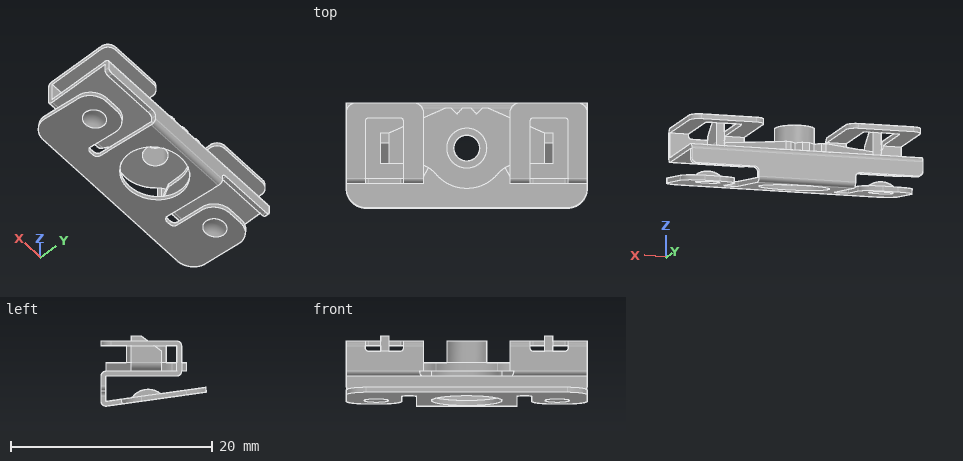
import cadquery as cq
import math

SIDES = (-1, 1)

SHEET = 0.5
CLIP_WIDTH = 24.0
BACK_INNER_Y = 4.0
BACK_Y = BACK_INNER_Y + SHEET
FRONT_Y = -3.53
FRONT_INNER_Y = FRONT_Y + SHEET
TAB_TOP_Z = 3.0
TAB_INNER_X = 4.3
TAB_CORNER_RADIUS = 1.0

WINDOW_INNER_X = 6.3
WINDOW_OUTER_X = 10.08
WINDOW_BACK_Y = 3.0
WINDOW_BOTTOM_Z = 2.0
WINDOW_CORNER_RADIUS = 0.3

CLEARANCE_RADIUS = 3.5
MOUTH_HALF_WIDTH = 4.68
MOUTH_END_Y = -1.37

FLAP_BOTTOM_Z = -2.0
FLAP_CORNER_RADIUS = 0.5

SPRING_FOLD_Z = -3.0
SPRING_TILT = 8.0
SPRING_LENGTH = 10.03
SPRING_CORNER_RADIUS = 2.0
NECK_WIDTH = 10.03
SLOT_LENGTH = 7.37
SLOT_CORNER_RADIUS = 0.5
LOBE_INNER_X = 6.45
LOBE_SETBACK = 1.54
DIMPLE_X = 9.0
DIMPLE_OUTER_RADIUS = 2.0
DIMPLE_INNER_RADIUS = DIMPLE_OUTER_RADIUS - SHEET
DIMPLE_CENTER_DEPTH = 1.37

LEVER_THICKNESS = 0.85
LEVER_RADIUS = BACK_INNER_Y
LEVER_BACK_HALF_WIDTH = 2.06
ARM_END_X = 8.57
EAR_INNER_X = ARM_END_X - LEVER_THICKNESS
ARM_HALF_DEPTH = 1.5
ARM_FILLET_RADIUS = 3.0
BOSS_RADIUS = 2.0
BOSS_HOLE_RADIUS = 1.27
NOTCH_X = 0.98
NOTCH_DEPTH = 0.6
EAR_TOP_Z = 3.5
EAR_FLAT_END_Y = 0.5
EAR_FRONT_Z = 2.0

tilt = math.radians(SPRING_TILT)


def polar(center, radius, degrees):
    """Point at an angle on a circle."""
    angle = math.radians(degrees)
    return (center[0] + radius * math.cos(angle), center[1] + radius * math.sin(angle))


def box_between(x_range, y_range, z_range):
    """Axis-aligned box given by its low and high limits."""
    sizes = [high - low for low, high in (x_range, y_range, z_range)]
    return cq.Workplane("XY").box(*sizes, centered=False).translate((x_range[0], y_range[0], z_range[0]))


def mirrored_range(side, inner, outer):
    """Low and high x of a stretch that lies on one side of the symmetry plane."""
    return tuple(sorted((side * inner, side * outer)))


def folded_strip():
    """Tabs, front wall, seat and back wall, at full width; every bend is sharp inside."""
    top_fold = (FRONT_INNER_Y, TAB_TOP_Z - SHEET)
    front_fold = (FRONT_INNER_Y, 0)
    back_fold = (BACK_INNER_Y, -SHEET)
    strip = (
        cq.Workplane("YZ")
        .moveTo(BACK_Y, TAB_TOP_Z)
        .lineTo(FRONT_INNER_Y, TAB_TOP_Z)
        .threePointArc(polar(top_fold, SHEET, 135), polar(top_fold, SHEET, 180))
        .lineTo(FRONT_Y, 0)
        .threePointArc(polar(front_fold, SHEET, 225), polar(front_fold, SHEET, 270))
        .lineTo(*back_fold)
        .lineTo(BACK_INNER_Y, FLAP_BOTTOM_Z)
        .lineTo(BACK_Y, FLAP_BOTTOM_Z)
        .lineTo(BACK_Y, -SHEET)
        .threePointArc(polar(back_fold, SHEET, 45), polar(back_fold, SHEET, 90))
        .lineTo(*front_fold)
        .lineTo(*top_fold)
        .lineTo(BACK_Y, TAB_TOP_Z - SHEET)
        .close()
        .extrude(CLIP_WIDTH / 2, both=True)
    )
    return strip.faces("<Z").edges("|Y").fillet(FLAP_CORNER_RADIUS)


def tab_gap():
    """Space that splits the upper part of the strip into two tabs."""
    return box_between((-TAB_INNER_X, TAB_INNER_X), (FRONT_Y, BACK_Y), (0, TAB_TOP_Z))


def window(side):
    """Opening that runs from the tab over the bend into the front wall."""
    cutter = box_between(
        mirrored_range(side, WINDOW_INNER_X, WINDOW_OUTER_X),
        (FRONT_Y, WINDOW_BACK_Y),
        (WINDOW_BOTTOM_Z, TAB_TOP_Z),
    )
    cutter = cutter.faces(">Y").edges("|Z").fillet(WINDOW_CORNER_RADIUS)
    return cutter.faces("<Z").edges("|Y").fillet(WINDOW_CORNER_RADIUS)


def seat_clearance():
    """Round-ended cut-out of the seat, flaring where it meets the front edge."""
    return (
        cq.Workplane("XY")
        .moveTo(-MOUTH_HALF_WIDTH, FRONT_Y)
        .lineTo(-CLEARANCE_RADIUS, MOUTH_END_Y)
        .lineTo(-CLEARANCE_RADIUS, 0)
        .threePointArc((0, CLEARANCE_RADIUS), (CLEARANCE_RADIUS, 0))
        .lineTo(CLEARANCE_RADIUS, MOUTH_END_Y)
        .lineTo(MOUTH_HALF_WIDTH, FRONT_Y)
        .close()
        .extrude(-SHEET)
    )


def neck():
    """Narrow end of the back wall, with the bend that leads into the spring plate."""
    fold = (BACK_INNER_Y, SPRING_FOLD_Z)
    bend_end = -90 - SPRING_TILT
    return (
        cq.Workplane("YZ")
        .moveTo(BACK_INNER_Y, FLAP_BOTTOM_Z)
        .lineTo(BACK_Y, FLAP_BOTTOM_Z)
        .lineTo(BACK_Y, SPRING_FOLD_Z)
        .threePointArc(polar(fold, SHEET, bend_end / 2), polar(fold, SHEET, bend_end))
        .lineTo(*fold)
        .close()
        .extrude(NECK_WIDTH / 2, both=True)
    )


def sphere_above(point, radius, floor_z):
    """Part of a sphere that lies above a level."""
    x, y, z = point
    ball = cq.Workplane("XY").sphere(radius).translate(point)
    keep = box_between((x - radius, x + radius), (y - radius, y + radius), (floor_z, z + radius))
    return ball.intersect(keep)


def flat_spring_plate():
    """Spring plate before tilting: upper face at z = 0 and the fold along y = 0."""
    half_width = CLIP_WIDTH / 2
    axis_y = -BACK_INNER_Y / math.cos(tilt)
    sheet_z = (-SHEET, 0)

    front = box_between((-half_width, half_width), (-SPRING_LENGTH, -SLOT_LENGTH), sheet_z)
    front = front.faces("<Y").edges("|Z").fillet(SPRING_CORNER_RADIUS)
    plate = front.union(box_between((-NECK_WIDTH / 2, NECK_WIDTH / 2), (-SLOT_LENGTH, 0), sheet_z))
    for side in SIDES:
        lobe = box_between(
            mirrored_range(side, LOBE_INNER_X, half_width), (-SLOT_LENGTH, -LOBE_SETBACK), sheet_z
        )
        plate = plate.union(lobe.faces(">Y").edges("|Z").fillet(SPRING_CORNER_RADIUS))

    slot_ends = cq.selectors.BoxSelector(
        (-LOBE_INNER_X - SLOT_CORNER_RADIUS, -SLOT_LENGTH - SLOT_CORNER_RADIUS, -SHEET),
        (LOBE_INNER_X + SLOT_CORNER_RADIUS, -SLOT_LENGTH + SLOT_CORNER_RADIUS, 0),
    )
    plate = plate.edges("|Z").edges(slot_ends).fillet(SLOT_CORNER_RADIUS)

    plate = plate.cut(cq.Workplane("XY").center(0, axis_y).circle(CLEARANCE_RADIUS).extrude(-SHEET))
    for side in SIDES:
        center = (side * DIMPLE_X, axis_y, -DIMPLE_CENTER_DEPTH)
        plate = plate.union(sphere_above(center, DIMPLE_OUTER_RADIUS, -SHEET))
        plate = plate.cut(sphere_above(center, DIMPLE_INNER_RADIUS, -SHEET))
    return plate


def spring_plate():
    """Spring plate tilted about the fold and moved to the end of the neck."""
    tilted = flat_spring_plate().rotate((0, 0, 0), (1, 0, 0), -SPRING_TILT)
    return tilted.translate((0, BACK_INNER_Y, SPRING_FOLD_Z))


def make_clip():
    """Folded sheet clip."""
    body = folded_strip().cut(tab_gap()).cut(seat_clearance())
    body = body.edges("|Z and >Y").edges(">Z").fillet(TAB_CORNER_RADIUS)
    for side in SIDES:
        body = body.cut(window(side))
    body = body.union(neck())
    neck_corners = body.edges("|Y").edges(
        cq.selectors.BoxSelector(
            (-NECK_WIDTH / 2 - SHEET, BACK_INNER_Y, FLAP_BOTTOM_Z - SHEET),
            (NECK_WIDTH / 2 + SHEET, BACK_Y, FLAP_BOTTOM_Z + SHEET),
        )
    )
    return neck_corners.fillet(FLAP_CORNER_RADIUS).union(spring_plate())


def lever_plate():
    """Flat plate: two straight arms that blend into a round front, with a tapered back."""
    fillet_y = -ARM_HALF_DEPTH - ARM_FILLET_RADIUS
    fillet_x = math.sqrt((LEVER_RADIUS + ARM_FILLET_RADIUS) ** 2 - fillet_y**2)
    blend_share = LEVER_RADIUS / (LEVER_RADIUS + ARM_FILLET_RADIUS)
    blend_x = fillet_x * blend_share
    blend_y = fillet_y * blend_share
    blend_angle = math.degrees(math.atan2(-blend_y, blend_x))
    left_mid = polar((-fillet_x, fillet_y), ARM_FILLET_RADIUS, (90 + blend_angle) / 2)
    right_mid = (-left_mid[0], left_mid[1])
    return (
        cq.Workplane("XY")
        .moveTo(-ARM_END_X, ARM_HALF_DEPTH)
        .lineTo(-ARM_END_X, -ARM_HALF_DEPTH)
        .lineTo(-fillet_x, -ARM_HALF_DEPTH)
        .threePointArc(left_mid, (-blend_x, blend_y))
        .threePointArc((0, -LEVER_RADIUS), (blend_x, blend_y))
        .threePointArc(right_mid, (fillet_x, -ARM_HALF_DEPTH))
        .lineTo(ARM_END_X, -ARM_HALF_DEPTH)
        .lineTo(ARM_END_X, ARM_HALF_DEPTH)
        .lineTo(EAR_INNER_X, ARM_HALF_DEPTH)
        .lineTo(LEVER_BACK_HALF_WIDTH, LEVER_RADIUS)
        .lineTo(-LEVER_BACK_HALF_WIDTH, LEVER_RADIUS)
        .lineTo(-EAR_INNER_X, ARM_HALF_DEPTH)
        .close()
        .extrude(LEVER_THICKNESS)
    )


def ear(side):
    """Upright hook on an arm, with its front top corner cut off at a slope."""
    start_x = mirrored_range(side, EAR_INNER_X, ARM_END_X)[0]
    return (
        cq.Workplane("YZ", origin=(start_x, 0, 0))
        .moveTo(ARM_HALF_DEPTH, LEVER_THICKNESS)
        .lineTo(ARM_HALF_DEPTH, EAR_TOP_Z)
        .lineTo(EAR_FLAT_END_Y, EAR_TOP_Z)
        .lineTo(-ARM_HALF_DEPTH, EAR_FRONT_Z)
        .lineTo(-ARM_HALF_DEPTH, LEVER_THICKNESS)
        .close()
        .extrude(LEVER_THICKNESS)
    )


def back_notch(side):
    """Right-angled V cut into the back edge of the lever."""
    x = side * NOTCH_X
    return (
        cq.Workplane("XY")
        .moveTo(x - NOTCH_DEPTH, LEVER_RADIUS)
        .lineTo(x, LEVER_RADIUS - NOTCH_DEPTH)
        .lineTo(x + NOTCH_DEPTH, LEVER_RADIUS)
        .close()
        .extrude(LEVER_THICKNESS)
    )


def make_lever():
    """Lever plate with boss, through hole, back notches and ears that are bent up from the arms."""
    body = lever_plate().union(cq.Workplane("XY").circle(BOSS_RADIUS).extrude(TAB_TOP_Z))
    body = body.cut(cq.Workplane("XY").circle(BOSS_HOLE_RADIUS).extrude(TAB_TOP_Z))
    for side in SIDES:
        body = body.union(ear(side)).cut(back_notch(side))
    ear_bends = body.faces("<X or >X").edges("<Z")
    return ear_bends.fillet(LEVER_THICKNESS)


clip = make_clip()
lever = make_lever()
result = cq.Compound.makeCompound([clip.val(), lever.val()])